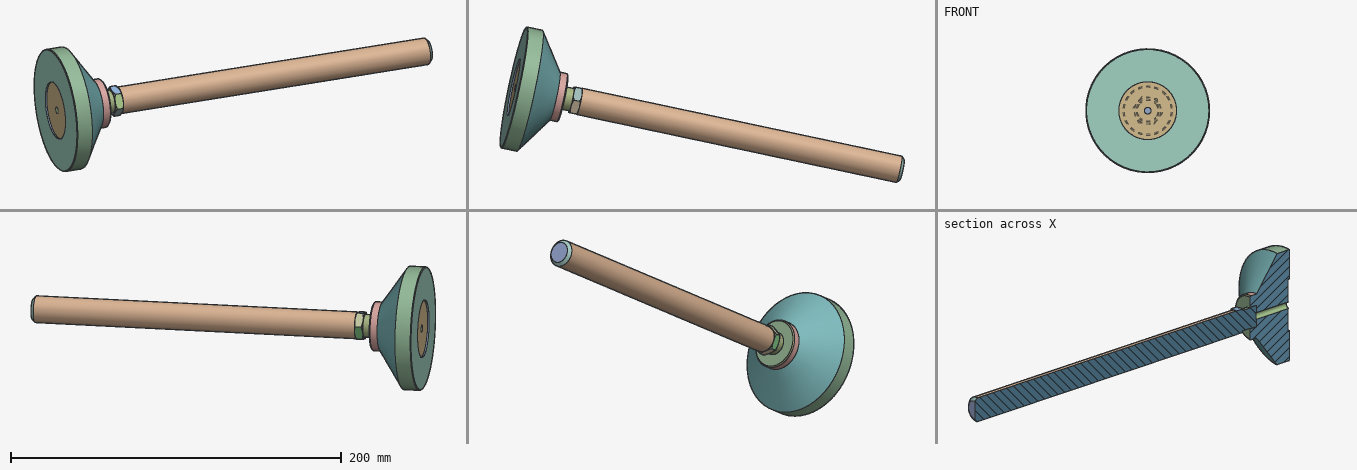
import cadquery as cq
import math

TOTAL_LENGTH = 241.0

RIM_HEIGHT = 10.0
CONE_TOP = 25.5
COLLAR_TOP = 30.6
HEX_BOTTOM = 36.0
HEX_TOP = 41.0

FOOT_RADIUS = 75.0 / 2
COLLAR_RADIUS = 15.0
COLLAR_CHAMFER = 0.7
BOTTOM_CHAMFER = 0.5
RECESS_DIAMETER = 35.0
RECESS_DEPTH = 1.0
VENT_DIAMETER = 4.0

NECK_DIAMETER = 14.0
ROD_DIAMETER = 16.5
TIP_CHAMFER = 2.0
HEX_ACROSS_FLATS = 16.0
HEX_ROTATION = 8.0
HEX_CHAMFER_ANGLE = 30.0

FOOT_BOTTOM = -TOTAL_LENGTH / 2


def cylinder(diameter, start, end):
    """Cylinder along Y between two heights above the underside."""
    return (
        cq.Workplane("XZ", origin=(0, FOOT_BOTTOM + start, 0))
        .circle(diameter / 2)
        .extrude(start - end)
    )


def revolve_profile(points):
    """Revolve a closed (radius, height) outline about the Y axis."""
    profile = cq.Workplane("XY", origin=(0, FOOT_BOTTOM, 0)).polyline(points).close()
    return profile.revolve(360, (0, 0, 0), (0, 1, 0))


def make_foot():
    body = revolve_profile([
        (0, 0),
        (FOOT_RADIUS - BOTTOM_CHAMFER, 0),
        (FOOT_RADIUS, BOTTOM_CHAMFER),
        (FOOT_RADIUS, RIM_HEIGHT),
        (COLLAR_RADIUS, CONE_TOP),
        (COLLAR_RADIUS, COLLAR_TOP - COLLAR_CHAMFER),
        (COLLAR_RADIUS - COLLAR_CHAMFER, COLLAR_TOP),
        (0, COLLAR_TOP),
    ])
    recess = cylinder(RECESS_DIAMETER, 0, RECESS_DEPTH)
    vent = cylinder(VENT_DIAMETER, 0, CONE_TOP)
    neck_socket = cylinder(NECK_DIAMETER, CONE_TOP, COLLAR_TOP)
    return body.cut(recess).cut(vent).cut(neck_socket)


def make_hex():
    """Spanner hexagon with its corners chamfered at both ends."""
    corner_radius = HEX_ACROSS_FLATS / 2 / math.cos(math.radians(30))
    flat_radius = HEX_ACROSS_FLATS / 2
    chamfer_height = (corner_radius - flat_radius) * math.tan(math.radians(HEX_CHAMFER_ANGLE))
    prism = (
        cq.Workplane("XZ", origin=(0, FOOT_BOTTOM + HEX_BOTTOM, 0))
        .polygon(6, 2 * corner_radius)
        .extrude(HEX_BOTTOM - HEX_TOP)
        .rotate((0, 0, 0), (0, 1, 0), HEX_ROTATION)
    )
    chamfer_envelope = revolve_profile([
        (0, HEX_BOTTOM),
        (flat_radius, HEX_BOTTOM),
        (corner_radius, HEX_BOTTOM + chamfer_height),
        (corner_radius, HEX_TOP - chamfer_height),
        (flat_radius, HEX_TOP),
        (0, HEX_TOP),
    ])
    return prism.intersect(chamfer_envelope)


def make_spindle():
    neck = cylinder(NECK_DIAMETER, CONE_TOP, HEX_BOTTOM)
    rod = cylinder(ROD_DIAMETER, HEX_TOP, TOTAL_LENGTH).faces(">Y").chamfer(TIP_CHAMFER)
    return neck.union(make_hex()).union(rod)


foot = make_foot()
spindle = make_spindle()

result = cq.Compound.makeCompound([foot.val(), spindle.val()])